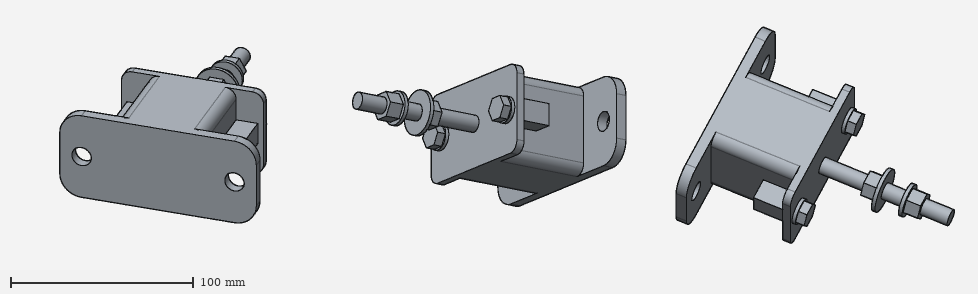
import cadquery as cq
import math

TOTAL_LENGTH = 139.7
BODY_SIZE = 50.9

BASE_WIDTH = 114.3
BASE_THICKNESS = 6.3
BASE_CORNER_RADIUS = 12.7
BASE_HOLE_DIAMETER = 11.2
BASE_HOLE_SPACING = 88.8

BODY_LENGTH = 50.9
BODY_CORNER_RADIUS = 6.3
CLAMP_WIDTH = 82.5
CLAMP_THICKNESS = 4.7

BLOCK_SIDE = 12.6
BLOCK_LENGTH = 19.1
BOLT_WASHER_DIAMETER = 15.1
BOLT_WASHER_THICKNESS = 2.1
BOLT_HEAD_ACROSS_FLATS = 12.7
BOLT_HEAD_HEIGHT = 5.2

ROD_DIAMETER = 9.6
NUT_ACROSS_FLATS = 14.2
NUT_HEIGHT = 8.7
WASHER_THICKNESS = 2.2
LOWER_WASHER_DIAMETER = 25.4
UPPER_WASHER_DIAMETER = 19.3
LOWER_NUT_START = 88.8
WASHER_GAP = 12.7

body_start = BASE_THICKNESS
clamp_start = body_start + BODY_LENGTH
clamp_end = clamp_start + CLAMP_THICKNESS
bolt_offset = (BODY_SIZE + BLOCK_SIDE) / 2
lower_washer_start = LOWER_NUT_START + NUT_HEIGHT
upper_washer_start = lower_washer_start + WASHER_THICKNESS + WASHER_GAP
upper_nut_start = upper_washer_start + WASHER_THICKNESS


def section_plane(y, x=0):
    """Workplane at height y along the stack, facing +Y, centred on x."""
    return cq.Workplane(cq.Plane(origin=(x, y, 0), xDir=(1, 0, 0), normal=(0, 1, 0)))


def rounded_slab(width, corner_radius, y, length):
    """Rectangular slab, as high as the body, with rounded edges along Y."""
    return section_plane(y).rect(width, BODY_SIZE).extrude(length).edges("|Y").fillet(corner_radius)


def disc(diameter, y, length, x=0):
    return section_plane(y, x).circle(diameter / 2).extrude(length)


def hexagon(across_flats, y, length, x=0):
    """Hexagonal prism with corners toward +X and -X."""
    across_corners = across_flats / math.cos(math.radians(30))
    return section_plane(y, x).polygon(6, across_corners).extrude(length)


def base_plate():
    plate = rounded_slab(BASE_WIDTH, BASE_CORNER_RADIUS, 0, BASE_THICKNESS)
    for side in (-1, 1):
        hole = disc(BASE_HOLE_DIAMETER, 0, BASE_THICKNESS, side * BASE_HOLE_SPACING / 2)
        plate = plate.cut(hole)
    return plate


def block_and_bolt(x):
    """Square block under the clamp plate, returned with the washer and bolt head above the plate."""
    block = section_plane(clamp_start - BLOCK_LENGTH, x).rect(BLOCK_SIDE, BLOCK_SIDE).extrude(BLOCK_LENGTH)
    washer = disc(BOLT_WASHER_DIAMETER, clamp_end, BOLT_WASHER_THICKNESS, x)
    head = hexagon(BOLT_HEAD_ACROSS_FLATS, clamp_end + BOLT_WASHER_THICKNESS, BOLT_HEAD_HEIGHT, x)
    return [block, washer, head]


def rod_with_nuts():
    return [
        disc(ROD_DIAMETER, clamp_end, TOTAL_LENGTH - clamp_end),
        hexagon(NUT_ACROSS_FLATS, LOWER_NUT_START, NUT_HEIGHT),
        disc(LOWER_WASHER_DIAMETER, lower_washer_start, WASHER_THICKNESS),
        disc(UPPER_WASHER_DIAMETER, upper_washer_start, WASHER_THICKNESS),
        hexagon(NUT_ACROSS_FLATS, upper_nut_start, NUT_HEIGHT),
    ]


result = base_plate()
result = result.union(rounded_slab(BODY_SIZE, BODY_CORNER_RADIUS, body_start, BODY_LENGTH))
result = result.union(rounded_slab(CLAMP_WIDTH, BODY_CORNER_RADIUS, clamp_start, CLAMP_THICKNESS))
for piece in block_and_bolt(-bolt_offset) + block_and_bolt(bolt_offset) + rod_with_nuts():
    result = result.union(piece)